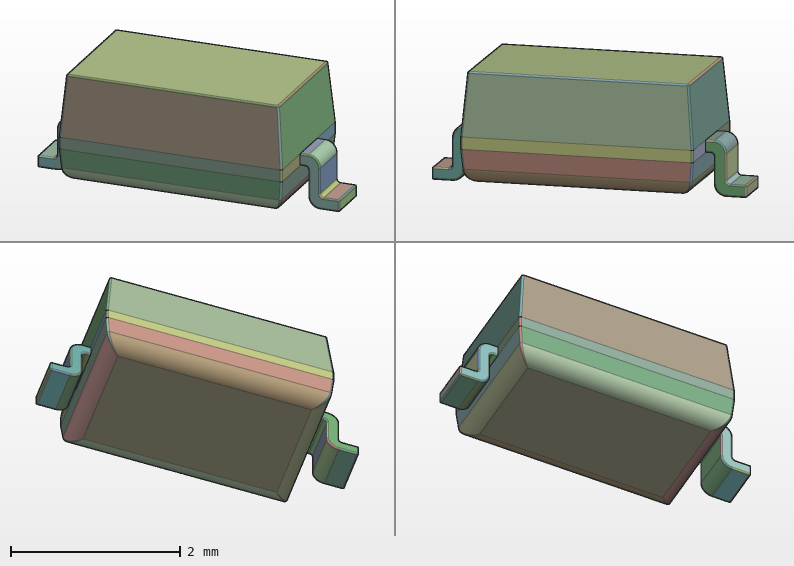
import cadquery as cq

TOTAL_LENGTH = 3.85
BODY_LENGTH = 2.85
BODY_WIDTH = 1.7
TOTAL_HEIGHT = 1.45

BODY_BOTTOM = 0.1
TAPER_ANGLE = 5.0
BODY_EDGE_RADIUS = 0.025
BODY_BOTTOM_RADIUS = 0.192

LEAD_THICKNESS = 0.15
LEAD_WIDTH = 0.55
LEAD_TOP = 0.67
FOOT_LENGTH = 0.245
OUTER_BEND_RADIUS = LEAD_THICKNESS
INNER_BEND_RADIUS = 0.045
LEAD_EDGE_RADIUS = 0.02
LEAD_EMBED = 0.155

BAND_TOP = LEAD_TOP
BAND_BOTTOM = LEAD_TOP - LEAD_THICKNESS


def body_section(start_height, distance, taper=0.0):
    """Extrude the widest body outline from start_height, shrinking by the taper."""
    return (
        cq.Workplane("XY", origin=(0, 0, start_height))
        .rect(BODY_LENGTH, BODY_WIDTH)
        .extrude(distance, taper=taper)
    )


def round_corners(section):
    """Round the corner edges of a body section: those that are not horizontal."""
    return section.edges("not #Z").fillet(BODY_EDGE_RADIUS)


def make_body():
    upper = round_corners(body_section(BAND_TOP, TOTAL_HEIGHT - BAND_TOP, TAPER_ANGLE))
    upper = upper.faces(">Z").edges().fillet(BODY_EDGE_RADIUS)

    band = round_corners(body_section(BAND_BOTTOM, BAND_TOP - BAND_BOTTOM))

    lower = body_section(BAND_BOTTOM, BODY_BOTTOM - BAND_BOTTOM, TAPER_ANGLE)
    lower = round_corners(lower.faces("<Z").edges().fillet(BODY_BOTTOM_RADIUS))

    return upper.union(band).union(lower)


def make_left_lead():
    tip = -TOTAL_LENGTH / 2
    upright_outer = tip + FOOT_LENGTH
    upright_inner = upright_outer + LEAD_THICKNESS
    buried_end = -BODY_LENGTH / 2 + LEAD_EMBED

    profile = [
        (tip, 0),
        (upright_inner, 0),
        (upright_inner, BAND_BOTTOM),
        (buried_end, BAND_BOTTOM),
        (buried_end, LEAD_TOP),
        (upright_outer, LEAD_TOP),
        (upright_outer, LEAD_THICKNESS),
        (tip, LEAD_THICKNESS),
    ]
    lead = cq.Workplane("XZ").polyline(profile).close().extrude(LEAD_WIDTH / 2, both=True)

    bends = [
        (upright_inner, 0, OUTER_BEND_RADIUS),
        (upright_outer, LEAD_TOP, OUTER_BEND_RADIUS),
        (upright_inner, BAND_BOTTOM, INNER_BEND_RADIUS),
        (upright_outer, LEAD_THICKNESS, INNER_BEND_RADIUS),
    ]
    for x, z, radius in bends:
        bend_edge = cq.selectors.NearestToPointSelector((x, 0, z))
        lead = lead.edges("|Y").edges(bend_edge).fillet(radius)

    return lead.faces("<Y or >Y or <X").edges().fillet(LEAD_EDGE_RADIUS)


body = make_body()
left_lead = make_left_lead()
result = body.union(left_lead).union(left_lead.mirror("YZ"))